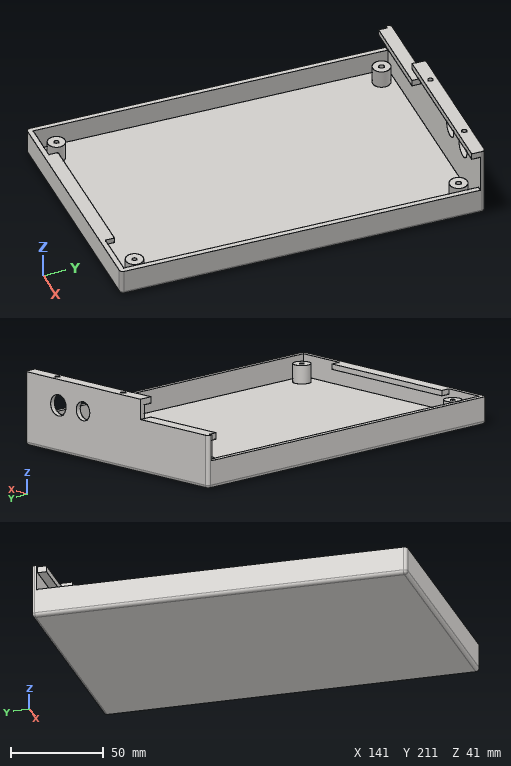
import cadquery as cq

LENGTH_X = 140.97
LENGTH_Y = 210.98
HEIGHT = 41.0

TRAY_HEIGHT = 15.5
WALL = 3.0
FLOOR = 3.0
EDGE_RADIUS = 2.0

STEP_X = 52.0
LOW_PANEL_HEIGHT = 29.75
FLANGE_DEPTH = 8.0
FLANGE_THICKNESS = 3.6
LOW_FLANGE_START_X = 2.0

OPENING_Z = 26.6
PANEL_OPENINGS = [(96.0, 10.4), (115.0, 11.7)]

FLANGE_HOLE_XS = [69.3, 119.8]
FLANGE_HOLE_FROM_REAR = 4.1
FLANGE_HOLE_DIAMETER = 2.8
FLANGE_HOLE_DEPTH = 6.0

BOSS_TOP_Z = 13.2
REAR_BOSS_DIAMETER = 10.2
REAR_BOSS_HOLE = 3.0
FRONT_BOSS_DIAMETER = 10.0
FRONT_BOSS_HOLE = 2.5
REAR_BOSS_XS = [12.8, 127.5]
REAR_BOSS_FROM_REAR = 10.4
FRONT_BOSS_CENTRES = [(14.0, 12.2), (129.5, 12.5)]

LEDGE_START_X = 26.3
LEDGE_END_X = 110.5
LEDGE_REACH_Y = 8.3
LEDGE_THICKNESS = 3.0


def box(x_range, y_range, z_range):
    """Box spanning the given (start, end) ranges."""
    (x0, x1), (y0, y1), (z0, z1) = x_range, y_range, z_range
    return cq.Workplane("XY").box(x1 - x0, y1 - y0, z1 - z0, centered=False).translate((x0, y0, z0))


def vertical_cylinder(x, y, diameter, z_range):
    """Upright cylinder between two heights."""
    z0, z1 = z_range
    return cq.Workplane("XY", origin=(x, y, z0)).circle(diameter / 2).extrude(z1 - z0)


def make_envelope():
    """Full-height block with rounded upright edges and a rounded bottom edge."""
    block = box((0, LENGTH_X), (0, LENGTH_Y), (0, HEIGHT))
    return block.edges("|Z").fillet(EDGE_RADIUS).faces("<Z").edges().fillet(EDGE_RADIUS)


def make_shell():
    """Tray with its stepped rear panel and the flanges along the panel top."""
    panel_y = LENGTH_Y - WALL
    flange_y = LENGTH_Y - FLANGE_DEPTH
    tall_flange_z = HEIGHT - FLANGE_THICKNESS
    low_flange_z = LOW_PANEL_HEIGHT - FLANGE_THICKNESS

    keep = box((0, LENGTH_X), (0, LENGTH_Y), (0, TRAY_HEIGHT))
    keep = keep.cut(box((WALL, LENGTH_X - WALL), (WALL, panel_y), (FLOOR, TRAY_HEIGHT)))
    keep = keep.union(box((0, LENGTH_X), (panel_y, LENGTH_Y), (0, LOW_PANEL_HEIGHT)))
    keep = keep.union(box((STEP_X, LENGTH_X), (panel_y, LENGTH_Y), (0, HEIGHT)))
    keep = keep.union(box((STEP_X, LENGTH_X), (flange_y, LENGTH_Y), (tall_flange_z, HEIGHT)))
    keep = keep.union(
        box((LOW_FLANGE_START_X, STEP_X), (flange_y, LENGTH_Y), (low_flange_z, LOW_PANEL_HEIGHT))
    )
    return keep.intersect(make_envelope())


def make_ledge():
    """Ledge rooted half-way into the front wall so the two fuse."""
    return box(
        (LEDGE_START_X, LEDGE_END_X),
        (WALL / 2, LEDGE_REACH_Y),
        (TRAY_HEIGHT - LEDGE_THICKNESS, TRAY_HEIGHT),
    )


def add_boss(body, x, y, diameter, hole_diameter):
    """Boss with a blind screw hole that stops at the floor; its base is sunk into the floor."""
    body = body.union(vertical_cylinder(x, y, diameter, (FLOOR / 2, BOSS_TOP_Z)))
    return body.cut(vertical_cylinder(x, y, hole_diameter, (FLOOR, BOSS_TOP_Z)))


def cut_panel_openings(body):
    for x, diameter in PANEL_OPENINGS:
        cutter = cq.Workplane("XZ", origin=(x, LENGTH_Y, OPENING_Z)).circle(diameter / 2).extrude(WALL)
        body = body.cut(cutter)
    return body


def cut_flange_holes(body):
    """Blind holes that graze the rear panel just under the flange."""
    for x in FLANGE_HOLE_XS:
        y = LENGTH_Y - FLANGE_HOLE_FROM_REAR
        body = body.cut(
            vertical_cylinder(x, y, FLANGE_HOLE_DIAMETER, (HEIGHT - FLANGE_HOLE_DEPTH, HEIGHT))
        )
    return body


result = make_shell().union(make_ledge())
for boss_x in REAR_BOSS_XS:
    boss_y = LENGTH_Y - REAR_BOSS_FROM_REAR
    result = add_boss(result, boss_x, boss_y, REAR_BOSS_DIAMETER, REAR_BOSS_HOLE)
for boss_x, boss_y in FRONT_BOSS_CENTRES:
    result = add_boss(result, boss_x, boss_y, FRONT_BOSS_DIAMETER, FRONT_BOSS_HOLE)
result = cut_panel_openings(result)
result = cut_flange_holes(result)